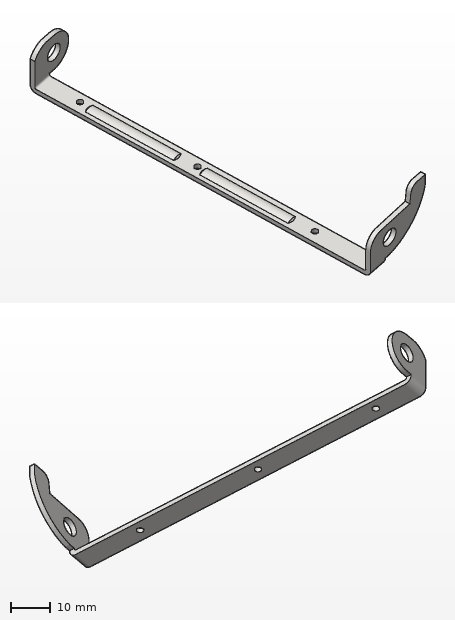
import cadquery as cq
import math

length = 110.0
strip_width = 6.0
thickness = 1.5
inner_bend_radius = 0.5
bend_radius = inner_bend_radius + thickness

pivot_y = 7.8
pivot_z = 8.4
pivot_hole_diameter = 5.2
ear_radius = 6.0
ear_top = pivot_z + ear_radius
ear_bottom = pivot_z - ear_radius
round_ear_corner_start_y = 4.5
round_ear_edge_top = 11.1
round_ear_corner_radius = 6.0

hook_reach = 22.4
hook_height = 19.5
hook_edge_bottom = 16.2
hook_back_middle = (18.5, 8.1)
notch_y = 16.1
notch_z = 13.9
hook_inner_y = 16.7
hook_tip_radius = 2.6
shoulder_z = 13.3
hook_ear_corner_radius = 4.4

hole_diameter = 1.9
hole_y = 3.3
middle_hole_x = 51.5
hole_spacing = 38.0
rib_starts = (16.4, 53.4)
rib_length = 29.4
rib_width = 3.1
rib_height = 0.4
rib_y = 2.9


def make_strip():
    """Strip with both bends, up to the level where the flat ears begin."""
    channel = (
        cq.Workplane("XZ")
        .rect(length, 2 * bend_radius)
        .extrude(-strip_width)
        .translate((length / 2, 0, bend_radius))
        .edges("|Y and <Z")
        .fillet(bend_radius)
    )
    inside = (
        cq.Workplane("XZ")
        .rect(length - 2 * thickness, 2 * bend_radius)
        .extrude(-strip_width)
        .translate((length / 2, 0, thickness + bend_radius))
        .edges("|Y and <Z")
        .fillet(inner_bend_radius)
    )
    above = cq.Workplane("XY").box(length, strip_width, bend_radius, centered=False)
    return channel.cut(inside).cut(above.translate((0, 0, ear_bottom)))


def make_round_ear():
    """Ear at x = 0: a round end with a straight edge along y = 0."""
    chord = math.hypot(round_ear_corner_start_y, ear_top - round_ear_edge_top)
    sagitta = round_ear_corner_radius - math.sqrt(round_ear_corner_radius**2 - (chord / 2) ** 2)
    return (
        cq.Workplane("YZ")
        .moveTo(0, ear_bottom)
        .lineTo(pivot_y, ear_bottom)
        .threePointArc((pivot_y + ear_radius, pivot_z), (pivot_y, ear_top))
        .lineTo(round_ear_corner_start_y, ear_top)
        .sagittaArc((0, round_ear_edge_top), -sagitta)
        .close()
        .extrude(thickness)
    )


def make_hook_ear():
    """Ear at the far end: a rounded shoulder and a curved hook reaching up."""
    ear = (
        cq.Workplane("YZ")
        .moveTo(0, ear_bottom)
        .lineTo(pivot_y, ear_bottom)
        .threePointArc(hook_back_middle, (hook_reach, hook_edge_bottom))
        .lineTo(hook_reach, hook_height)
        .lineTo(hook_inner_y, hook_height)
        .lineTo(notch_y, notch_z)
        .lineTo(0, shoulder_z)
        .close()
        .extrude(thickness)
    )
    tip = cq.selectors.NearestToPointSelector((thickness / 2, hook_inner_y, hook_height))
    shoulder = cq.selectors.NearestToPointSelector((thickness / 2, 0, shoulder_z))
    ear = ear.edges(tip).fillet(hook_tip_radius)
    ear = ear.edges(shoulder).fillet(hook_ear_corner_radius)
    return ear.translate((length - thickness, 0, 0))


def make_rib(start_x):
    """Shallow cap of a cylinder with tapered ends, standing on the strip."""
    rib_radius = ((rib_width / 2) ** 2 + rib_height**2) / (2 * rib_height)
    axis_z = thickness + rib_height - rib_radius
    cylinder = (
        cq.Workplane("YZ", origin=(start_x, rib_y, axis_z))
        .circle(rib_radius)
        .extrude(rib_length)
        .faces("<X or >X")
        .chamfer(rib_height)
    )
    above_strip = cq.Workplane("XY", origin=(0, 0, thickness)).box(
        length, strip_width, rib_height, centered=False
    )
    return cylinder.intersect(above_strip)


result = make_strip().union(make_round_ear()).union(make_hook_ear())

for start_x in rib_starts:
    result = result.union(make_rib(start_x))

hole_positions = [(middle_hole_x + step * hole_spacing, hole_y) for step in (-1, 0, 1)]
strip_holes = (
    cq.Workplane("XY").pushPoints(hole_positions).circle(hole_diameter / 2).extrude(2 * thickness)
)
pivot_holes = (
    cq.Workplane("YZ").center(pivot_y, pivot_z).circle(pivot_hole_diameter / 2).extrude(length)
)
result = result.cut(strip_holes).cut(pivot_holes)